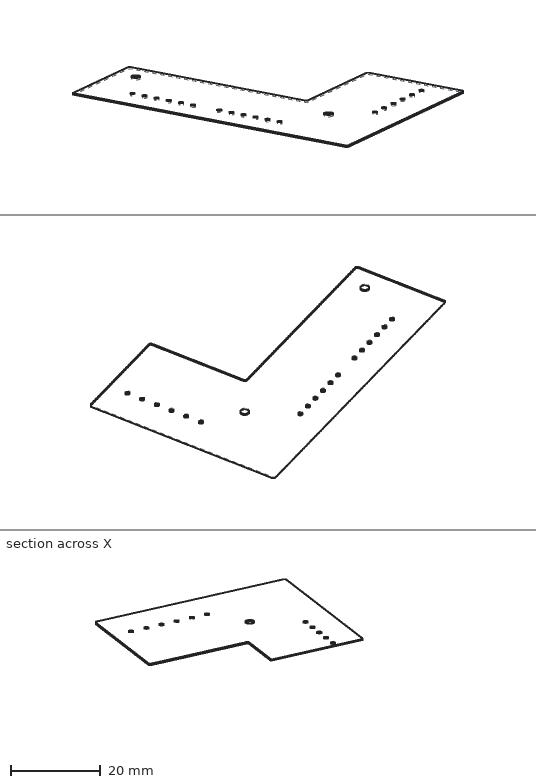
import cadquery as cq

length = 72.4
width = 48.15
thickness = 0.41

front_leg_width = 23.2
right_leg_width = 25.5
corner_radius = 0.5

mount_diameter = 2.0
mount_left_x = 5.2
mount_spacing = 50.8
mount_y = 17.8

pin_diameter = 1.0
pins_per_row = 6
front_pin_pitch = 3.2
front_pin_y = 6.95
front_row_starts = (11.3, 34.2)
right_pin_pitch = 3.85
right_pin_x = 64.15
right_row_start_y = 24.25


def l_plate():
    """L-shaped plate with every corner rounded except the front-left one."""
    inner_x = length - right_leg_width
    outline = [
        (0, 0),
        (length, 0),
        (length, width),
        (inner_x, width),
        (inner_x, front_leg_width),
        (0, front_leg_width),
    ]
    plate = cq.Workplane("XY").polyline(outline).close().extrude(thickness)
    front_left_edge = cq.selectors.NearestToPointSelector((0, 0, thickness / 2))
    rounded_edges = cq.selectors.SubtractSelector(cq.selectors.StringSyntaxSelector("|Z"), front_left_edge)
    return plate.edges(rounded_edges).fillet(corner_radius)


def through_holes(points, diameter):
    """Cutting cylinders through the plate at the given points."""
    return cq.Workplane("XY").pushPoints(points).circle(diameter / 2).extrude(thickness)


mount_points = [(mount_left_x, mount_y), (mount_left_x + mount_spacing, mount_y)]
front_pin_points = [
    (start_x + i * front_pin_pitch, front_pin_y)
    for start_x in front_row_starts
    for i in range(pins_per_row)
]
right_pin_points = [
    (right_pin_x, right_row_start_y + i * right_pin_pitch)
    for i in range(pins_per_row)
]

result = (
    l_plate()
    .cut(through_holes(mount_points, mount_diameter))
    .cut(through_holes(front_pin_points + right_pin_points, pin_diameter))
)